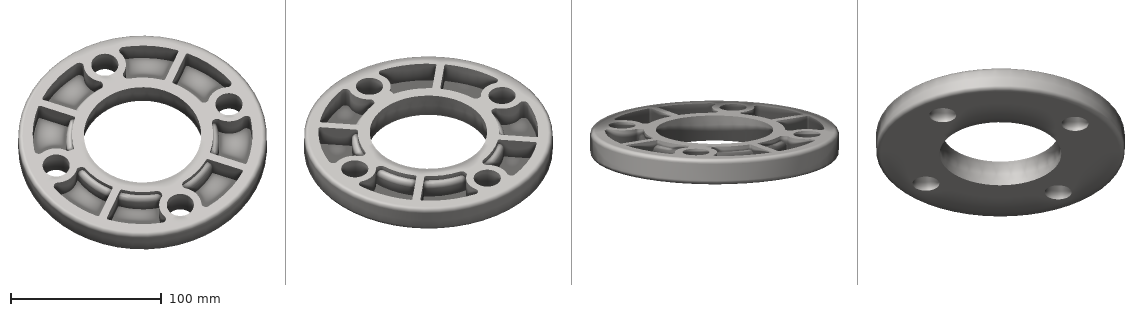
import cadquery as cq
import math

OUTER_RADIUS = 82.5
THICKNESS = 17.5
RIM_FILLET = 3.0
BORE_TOP_RADIUS = 39.0
BORE_BOTTOM_RADIUS = 40.5

HOLE_COUNT = 4
HOLE_DIAMETER = 18.0
BOLT_CIRCLE_RADIUS = 62.5

POCKET_DEPTH = 14.0
POCKET_INNER_RADIUS = 46.9
POCKET_OUTER_RADIUS = 73.0
BOSS_RADIUS = 14.0
NECK_WIDTH = 15.2
RIB_WIDTH = 5.3
BOSS_CORNER_RADIUS = 3.0
NECK_BOSS_RADIUS = 2.3
NECK_WALL_RADIUS = 3.3
SQUARE_NECK_ANGLE = 180
RIB_CORNER_RADIUS = 1.2

STEP_OUTER_RADIUS = 50.8
STEP_ROUND_RADIUS = STEP_OUTER_RADIUS - POCKET_INNER_RADIUS
STEP_ROUND_DEPTH = 7.5

POCKET_FLOOR = THICKNESS - POCKET_DEPTH
HOLE_PITCH = 360 / HOLE_COUNT


def ring_body():
    """Disc with rounded rims and a bore that narrows towards the top."""
    disc = cq.Workplane("XY").circle(OUTER_RADIUS).extrude(THICKNESS)
    disc = disc.edges().fillet(RIM_FILLET)
    bore = (
        cq.Workplane("XY")
        .circle(BORE_BOTTOM_RADIUS)
        .workplane(offset=THICKNESS)
        .circle(BORE_TOP_RADIUS)
        .loft()
    )
    return disc.cut(bore)


def pocket_blank(square_neck=False):
    """Pocket between the +Y hole and the rib on the line X = Y."""
    half_neck = NECK_WIDTH / 2
    rib_offset = RIB_WIDTH / math.sqrt(2)
    reach = 2 * POCKET_OUTER_RADIUS
    floor = cq.Workplane("XY", origin=(0, 0, POCKET_FLOOR))

    sector = (
        floor.moveTo(half_neck, half_neck + rib_offset)
        .lineTo(reach, reach + rib_offset)
        .lineTo(half_neck, reach + rib_offset)
        .close()
        .extrude(POCKET_DEPTH)
    )
    annulus = floor.circle(POCKET_OUTER_RADIUS).circle(POCKET_INNER_RADIUS).extrude(POCKET_DEPTH)
    boss = floor.center(0, BOLT_CIRCLE_RADIUS).circle(BOSS_RADIUS).extrude(POCKET_DEPTH)
    pocket = sector.intersect(annulus).cut(boss)

    def round_corner(solid, x, y, radius):
        middle = (x, y, POCKET_FLOOR + POCKET_DEPTH / 2)
        return solid.edges("|Z").edges(cq.NearestToPointSelector(middle)).fillet(radius)

    for wall_radius in (POCKET_INNER_RADIUS, POCKET_OUTER_RADIUS):
        along_rib = math.sqrt(wall_radius**2 - (RIB_WIDTH / 2) ** 2)
        x = (along_rib - RIB_WIDTH / 2) / math.sqrt(2)
        pocket = round_corner(pocket, x, x + rib_offset, RIB_CORNER_RADIUS)

    y = (POCKET_OUTER_RADIUS**2 - BOSS_RADIUS**2 + BOLT_CIRCLE_RADIUS**2) / (2 * BOLT_CIRCLE_RADIUS)
    x = math.sqrt(POCKET_OUTER_RADIUS**2 - y**2)
    pocket = round_corner(pocket, x, y, BOSS_CORNER_RADIUS)

    if not square_neck:
        y = BOLT_CIRCLE_RADIUS - math.sqrt(BOSS_RADIUS**2 - half_neck**2)
        pocket = round_corner(pocket, half_neck, y, NECK_BOSS_RADIUS)
        y = math.sqrt(POCKET_INNER_RADIUS**2 - half_neck**2)
        pocket = round_corner(pocket, half_neck, y, NECK_WALL_RADIUS)
    return pocket


def step_ring():
    """Ring that thickens the lower part of the inner wall, with a rounded outer top."""
    round_centre_r = STEP_OUTER_RADIUS - STEP_ROUND_RADIUS
    round_centre_z = THICKNESS - STEP_ROUND_DEPTH
    diagonal = STEP_ROUND_RADIUS / math.sqrt(2)
    round_top_z = round_centre_z + STEP_ROUND_RADIUS
    return (
        cq.Workplane("XZ")
        .moveTo(BORE_BOTTOM_RADIUS, 0)
        .lineTo(STEP_OUTER_RADIUS, 0)
        .lineTo(STEP_OUTER_RADIUS, round_centre_z)
        .threePointArc((round_centre_r + diagonal, round_centre_z + diagonal), (round_centre_r, round_top_z))
        .lineTo(BORE_BOTTOM_RADIUS, round_top_z)
        .close()
        .revolve(360, (0, 0, 0), (0, 1, 0))
    )


def turned(solid, angle):
    """Copy of the solid turned about the ring axis."""
    return solid.rotate((0, 0, 0), (0, 0, 1), angle)


step = step_ring()
rounded_pocket = pocket_blank().cut(step)
square_pocket = pocket_blank(square_neck=True).cut(step)
mirrored_pocket = turned(rounded_pocket.mirror("YZ"), -HOLE_PITCH)

result = ring_body()
for index in range(HOLE_COUNT):
    angle = index * HOLE_PITCH
    near_pocket = square_pocket if angle == SQUARE_NECK_ANGLE else rounded_pocket
    result = result.cut(turned(near_pocket, angle)).cut(turned(mirrored_pocket, angle))

result = (
    result.faces(">Z")
    .workplane(origin=(0, 0, THICKNESS))
    .polarArray(BOLT_CIRCLE_RADIUS, 0, 360, HOLE_COUNT)
    .hole(HOLE_DIAMETER)
)